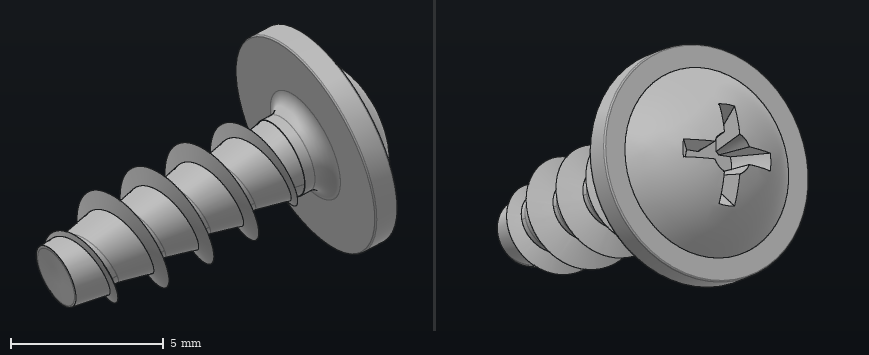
import cadquery as cq
import math

flange_radius = 4.0
flange_thickness = 0.9
flange_edge_fillet = 0.05

dome_radius = 4.0
dome_apex = 2.5

recess_depth = 1.5
recess_wing_width = 0.6
recess_wing_reach = 1.72
recess_floor_reach = 0.9
recess_core_radius = 0.75
recess_core_floor_radius = 0.5

shank_length = 10.0
neck_radius = 1.4
neck_fillet = 0.6
neck_length = 1.0
core_radius = 1.11
neck_cone_radius = 1.38
neck_cone_length = 1.4
neck_cone_overlap = 0.02
tip_dish_depth = 0.06
tip_rim_width = 0.06

pitch = 1.8
thread_start_y = -0.6
thread_radius = 2.0
crest_start_radius = 1.38
crest_tip_radius = 1.15
crest_growth = 0.57
crest_decay = 0.63
root_radius = 1.38
root_tip_radius = 1.09
root_taper = 0.16
buried_radius = 1.07
upper_flank_slope = 0.29
lower_flank_slope = 0.31
smallest_ridge = 0.02
turn_gap = 0.03
first_turn = -0.6
end_margin = 0.1
last_turn = (shank_length + thread_start_y) / pitch + end_margin
samples_per_turn = 24


def revolve_about_y(profile):
    return profile.close().revolve(360, (0, 0, 0), (0, 1, 0))


def make_head():
    flange = cq.Workplane("XZ").circle(flange_radius).extrude(-flange_thickness)
    flange = flange.edges().fillet(flange_edge_fillet)
    dome_center = dome_apex - dome_radius
    base_radius = math.sqrt(dome_radius**2 - (flange_thickness - dome_center) ** 2)
    half_angle = math.asin(base_radius / dome_radius) / 2
    arc_middle = (
        dome_radius * math.sin(half_angle),
        dome_center + dome_radius * math.cos(half_angle),
    )
    seat = flange_thickness / 2
    dome = revolve_about_y(
        cq.Workplane("XY")
        .moveTo(0, seat)
        .lineTo(base_radius, seat)
        .lineTo(base_radius, flange_thickness)
        .threePointArc(arc_middle, (0, dome_apex))
    )
    return flange.union(dome)


def make_tapered_plug(top_radius, taper_top, floor_radius):
    """Cone narrowing from taper_top to the recess floor, straight above taper_top."""
    floor = dome_apex - recess_depth
    plug_top = dome_apex + recess_depth
    return revolve_about_y(
        cq.Workplane("XY")
        .moveTo(0, floor)
        .lineTo(floor_radius, floor)
        .lineTo(top_radius, taper_top)
        .lineTo(top_radius, plug_top)
        .lineTo(0, plug_top)
    )


def make_recess():
    wing_top = dome_apex - dome_radius + math.sqrt(dome_radius**2 - recess_wing_reach**2)
    span = 2 * flange_radius
    bars = cq.Workplane("XY").box(span, span, recess_wing_width)
    bars = bars.union(cq.Workplane("XY").box(recess_wing_width, span, span))
    wings = make_tapered_plug(recess_wing_reach, wing_top, recess_floor_reach).intersect(bars)
    core = make_tapered_plug(recess_core_radius, dome_apex, recess_core_floor_radius)
    return wings.union(core)


def make_neck():
    arc_offset = neck_fillet * (1 - math.sqrt(0.5))
    seat = flange_thickness / 2
    return revolve_about_y(
        cq.Workplane("XY")
        .moveTo(0, seat)
        .lineTo(neck_radius + neck_fillet, seat)
        .lineTo(neck_radius + neck_fillet, 0)
        .threePointArc((neck_radius + arc_offset, -arc_offset), (neck_radius, -neck_fillet))
        .lineTo(neck_radius, -neck_length)
        .lineTo(neck_cone_radius, -neck_length)
        .lineTo(core_radius - neck_cone_overlap, -neck_length - neck_cone_length)
        .lineTo(0, -neck_length - neck_cone_length)
    )


def make_tip_dish():
    rim = core_radius - tip_rim_width
    return revolve_about_y(
        cq.Workplane("XY")
        .moveTo(0, -shank_length)
        .lineTo(rim, -shank_length)
        .lineTo(0, tip_dish_depth - shank_length)
    )


def rod_along_y(radius, top, bottom):
    return cq.Workplane("XZ", origin=(0, top, 0)).circle(radius).extrude(top - bottom)


def crest_height(turn):
    return thread_start_y - pitch * turn


def crest_radius_at(turn):
    growing = crest_start_radius + crest_growth * max(turn, 0)
    shrinking = crest_tip_radius + crest_decay * (crest_height(turn) + shank_length) / pitch
    return min(thread_radius, growing, shrinking)


def root_radius_at(turn):
    height_above_tip = crest_height(turn) + shank_length
    tapered = root_tip_radius + root_taper * height_above_tip
    below_crest = crest_radius_at(turn) - smallest_ridge
    return max(buried_radius + smallest_ridge / 2, min(root_radius, tapered, below_crest))


def buried_radius_at(turn):
    return buried_radius


def upper_foot_height(turn):
    ridge_depth = crest_radius_at(turn) - buried_radius
    return crest_height(turn) + upper_flank_slope * ridge_depth


def root_height(turn):
    ridge_depth = crest_radius_at(turn) - root_radius_at(turn)
    return crest_height(turn) - lower_flank_slope * ridge_depth


def slope_end_height(turn):
    return upper_foot_height(turn + 1) + turn_gap


def helix_edge(radius_at, height_at):
    count = round((last_turn - first_turn) * samples_per_turn)
    turns = [first_turn + (last_turn - first_turn) * i / count for i in range(count + 1)]
    points = []
    for turn in turns:
        angle = math.pi + 2 * math.pi * turn
        radius = radius_at(turn)
        height = height_at(turn)
        points.append(cq.Vector(radius * math.cos(angle), height, radius * math.sin(angle)))
    return cq.Edge.makeSpline(points, parameters=turns)


def make_ridge():
    edges = [
        helix_edge(buried_radius_at, upper_foot_height),
        helix_edge(crest_radius_at, crest_height),
        helix_edge(root_radius_at, root_height),
        helix_edge(buried_radius_at, slope_end_height),
    ]
    faces = []
    for index, edge in enumerate(edges):
        following = edges[(index + 1) % len(edges)]
        faces.append(cq.Face.makeRuledSurface(edge, following))
    for corners in ([e.startPoint() for e in edges], [e.endPoint() for e in edges]):
        faces.append(cq.Face.makeFromWires(cq.Wire.makePolygon(corners, close=True)))
    return cq.Workplane(cq.Solid.makeSolid(cq.Shell.makeShell(faces)).fix())


def make_threaded_core():
    rod = rod_along_y(core_radius, flange_thickness, -shank_length - pitch)
    threaded_zone = rod_along_y(2 * thread_radius, -neck_length, -shank_length)
    return rod.union(make_ridge()).intersect(threaded_zone)


head = make_head().cut(make_recess())
shank = make_threaded_core().union(make_neck()).cut(make_tip_dish())
result = head.union(shank)